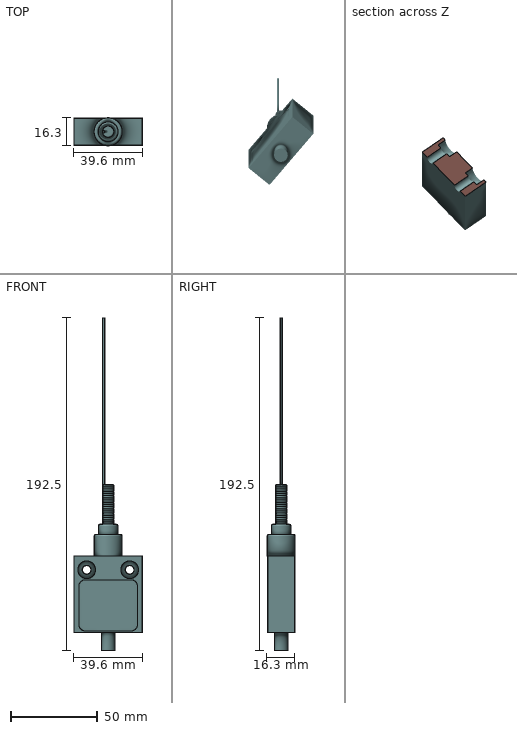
import cadquery as cq


overall_height = 192.53

body_width = 39.62
body_depth = 15.75
body_height = 44.45

cable_diameter = 7.9
cable_length = 10.4

head_diameter = 16.26
head_height = 12.45
head_fillet = 1.27
collar_diameter = 11.45
collar_height = 5.85
collar_fillet = 1.27

coil_count = 18
coil_pitch = 1.27
coil_radius = coil_pitch / 2
spring_diameter = 6.6
core_radius = spring_diameter / 2 - coil_radius

wire_diameter = 1.35
wire_x = -(spring_diameter - wire_diameter) / 2

hole_diameter = 4.95
hole_spacing = 24.9
hole_drop = 8.1
counterbore_diameter = 10.2
counterbore_depth = 5.3

panel_width = 34.0
panel_height = 29.6
panel_bottom = 0.95
panel_corner_radius = 3.8
panel_recess = 0.25

head_top = body_height + head_height
collar_top = head_top + collar_height
spring_top = collar_top + coil_count * coil_pitch
wire_top = overall_height - cable_length
front_y = -body_depth / 2


def upright_cylinder(diameter, bottom, top, x=0):
    """Solid cylinder parallel to Z between two levels."""
    return cq.Workplane("XY", origin=(x, 0, bottom)).circle(diameter / 2).extrude(top - bottom)


def front_plane(z):
    """Workplane on the front face at the given height, its normal pointing outward (-Y)."""
    return cq.Workplane("XZ", origin=(0, front_y, z))


def make_body():
    body = cq.Workplane("XY").box(body_width, body_depth, body_height, centered=(True, True, False))
    hole_centers = [(-hole_spacing / 2, 0), (hole_spacing / 2, 0)]
    holes_face = front_plane(body_height - hole_drop).pushPoints(hole_centers)
    holes = holes_face.circle(hole_diameter / 2).extrude(-body_depth)
    counterbores = holes_face.circle(counterbore_diameter / 2).extrude(-counterbore_depth)
    panel = (
        front_plane(panel_bottom + panel_height / 2)
        .rect(panel_width, panel_height)
        .extrude(-panel_recess)
        .edges("|Y")
        .fillet(panel_corner_radius)
    )
    return body.cut(holes).cut(counterbores).cut(panel)


def make_head():
    head = upright_cylinder(head_diameter, body_height, head_top).faces(">Z").edges().fillet(head_fillet)
    collar = upright_cylinder(collar_diameter, head_top, collar_top).faces(">Z").edges().fillet(collar_fillet)
    return head.union(collar)


def make_spring():
    """Revolve a core whose outer side is a row of half-round coils."""
    profile = cq.Workplane("XZ").moveTo(0, collar_top).lineTo(core_radius, collar_top)
    for coil in range(coil_count):
        coil_bottom = collar_top + coil * coil_pitch
        profile = profile.threePointArc(
            (spring_diameter / 2, coil_bottom + coil_radius),
            (core_radius, coil_bottom + coil_pitch),
        )
    return profile.lineTo(0, spring_top).close().revolve(360, (0, 0, 0), (0, 1, 0))


def make_wire():
    """Wire rising from inside the uppermost coil, so that the two are joined."""
    return upright_cylinder(wire_diameter, spring_top - coil_radius, wire_top, wire_x)


cable = upright_cylinder(cable_diameter, -cable_length, 0)

result = make_body().union(cable).union(make_head()).union(make_spring()).union(make_wire())